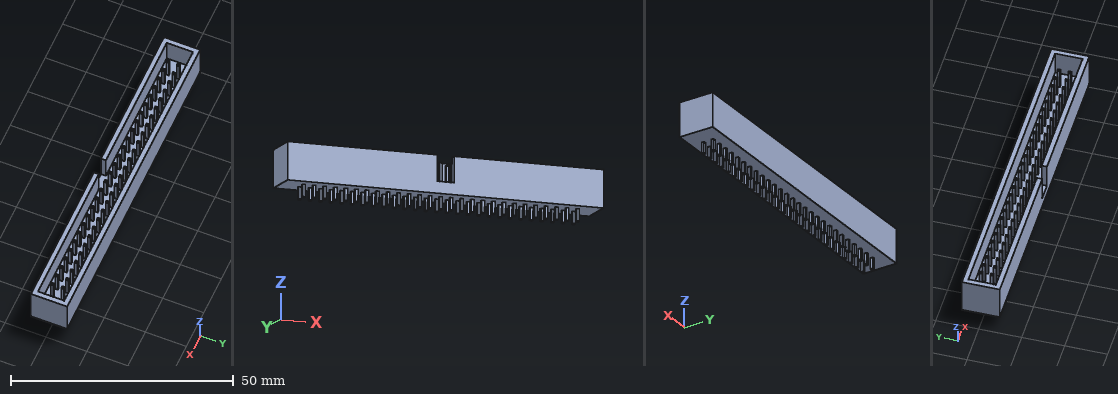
import cadquery as cq


body_length = 76.2
body_width = 8.9
body_height = 8.9
end_wall = 1.25
side_wall = 1.25
cavity_depth = 6.1
notch_width = 4.0

pin_columns = 27
pin_rows = 2
pitch = 2.54
pin_size = 0.64
tip_chamfer = 0.2
pin_below_body = 3.0
pin_top_clearance = 0.9

cavity_floor = body_height - cavity_depth
cavity_length = body_length - 2 * end_wall
cavity_width = body_width - 2 * side_wall
pin_length = pin_below_body + body_height - pin_top_clearance


def make_shroud():
    """Box resting on Z = 0, hollowed from above, with its -Y wall notched down to the cavity floor."""
    body = cq.Workplane("XY").box(body_length, body_width, body_height, centered=(True, True, False))
    cavity = (
        cq.Workplane("XY", origin=(0, 0, cavity_floor))
        .box(cavity_length, cavity_width, cavity_depth, centered=(True, True, False))
    )
    notch = (
        cq.Workplane("XY", origin=(0, -body_width / 2, cavity_floor))
        .box(notch_width, 2 * side_wall, cavity_depth, centered=(True, True, False))
    )
    return body.cut(cavity).cut(notch)


def make_pins():
    """Square pins with chamfered tips, in a grid centred on the shroud."""
    pin = (
        cq.Workplane("XY")
        .box(pin_size, pin_size, pin_length, centered=(True, True, False))
        .faces("<Z or >Z")
        .chamfer(tip_chamfer)
        .val()
    )
    return (
        cq.Workplane("XY", origin=(0, 0, -pin_below_body))
        .rarray(pitch, pitch, pin_columns, pin_rows)
        .eachpoint(lambda location: pin.moved(location), combine=False)
    )


result = make_shroud().union(make_pins())